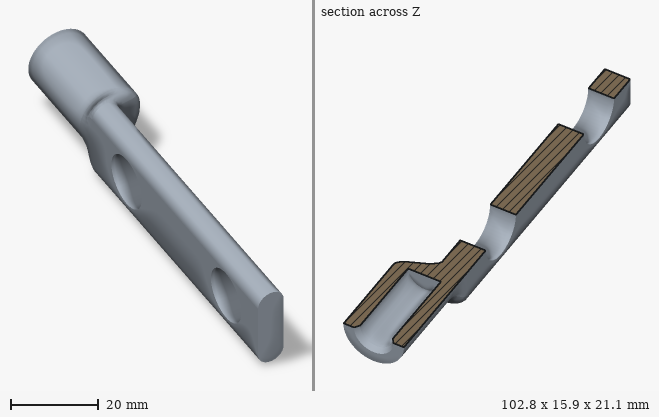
import cadquery as cq
import math

total_length = 102.8
barrel_diameter = 15.9
barrel_length = 23.0
neck_length = 5.9
neck_overlap = 1.0

tongue_width = 21.1
tongue_thickness = 6.8

stud_hole_diameter = 13.6
stud_hole_spacing = 44.5
stud_hole_end_distance = 14.3

bore_diameter = 8.5
bore_depth = barrel_length
bore_mouth_diameter = 10.4
bore_mouth_depth = 1.2

flat_blend_angle = 29.0

barrel_radius = barrel_diameter / 2
edge_radius = tongue_thickness / 2
tongue_start = barrel_length + neck_length
tongue_center_y = edge_radius - barrel_radius
flat_half_width = tongue_width / 2 - edge_radius


def barrel_section(x):
    """Barrel circle at x, split into four arcs that match the tongue edges."""
    across = barrel_radius * math.cos(math.radians(flat_blend_angle))
    up = barrel_radius * math.sin(math.radians(flat_blend_angle))
    return (
        cq.Workplane("YZ", origin=(x, 0, 0))
        .moveTo(-across, -up)
        .threePointArc((0, -barrel_radius), (across, -up))
        .threePointArc((barrel_radius, 0), (across, up))
        .threePointArc((0, barrel_radius), (-across, up))
        .threePointArc((-barrel_radius, 0), (-across, -up))
        .close()
    )


def tongue_section(x):
    """Tongue outline at x: two flats joined by semicircular edges."""
    front_y = tongue_center_y - edge_radius
    back_y = tongue_center_y + edge_radius
    return (
        cq.Workplane("YZ", origin=(x, 0, 0))
        .moveTo(front_y, -flat_half_width)
        .threePointArc((tongue_center_y, -tongue_width / 2), (back_y, -flat_half_width))
        .lineTo(back_y, flat_half_width)
        .threePointArc((tongue_center_y, tongue_width / 2), (front_y, flat_half_width))
        .close()
    )


def make_neck():
    """Smooth transition between the barrel and the tongue."""
    sections = [
        barrel_section(barrel_length - neck_overlap),
        barrel_section(barrel_length),
        tongue_section(tongue_start),
        tongue_section(tongue_start + neck_overlap),
    ]
    loft = cq.Solid.makeLoft([section.val() for section in sections], False)
    neck_envelope = (
        cq.Workplane("YZ", origin=(barrel_length, 0, 0))
        .rect(2 * tongue_width, 2 * tongue_width)
        .extrude(neck_length)
    )
    return neck_envelope.intersect(cq.Workplane(loft))


def make_bore():
    """Drilled wire bore with a flat floor and a countersunk mouth."""
    bore_radius = bore_diameter / 2
    return (
        cq.Workplane("XY")
        .lineTo(0, bore_mouth_diameter / 2)
        .lineTo(bore_mouth_depth, bore_radius)
        .lineTo(bore_depth, bore_radius)
        .lineTo(bore_depth, 0)
        .close()
        .revolve(360, (0, 0, 0), (1, 0, 0))
    )


def make_stud_holes():
    """Pair of cylinders through the tongue thickness."""
    far_hole_x = total_length - stud_hole_end_distance
    near_hole_x = far_hole_x - stud_hole_spacing
    return (
        cq.Workplane("XZ")
        .pushPoints([(near_hole_x, 0), (far_hole_x, 0)])
        .circle(stud_hole_diameter / 2)
        .extrude(barrel_diameter, both=True)
    )


barrel = barrel_section(0).extrude(barrel_length)
tongue = tongue_section(tongue_start).extrude(total_length - tongue_start)
result = barrel.union(make_neck()).union(tongue).cut(make_bore()).cut(make_stud_holes())